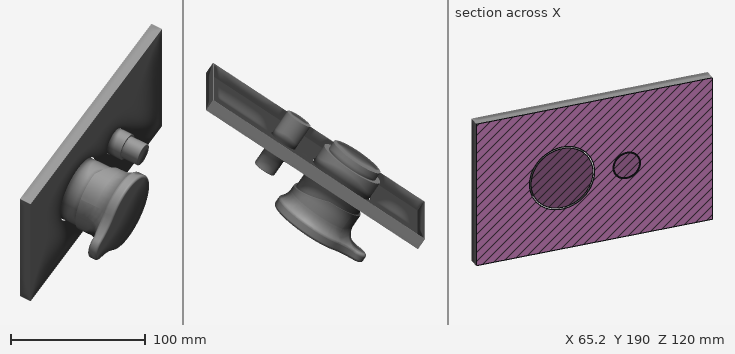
import cadquery as cq
import math

TOTAL_DEPTH = 65.2
PLATE_REAR_X = 12.2
SLEEVE_REAR_X = 6.5
SLEEVE_FRONT_X = 48.3
HANDLE_REAR_X = 35.0
GUIDE_FRONT_X = 32.5
BUTTON_FRONT_X = 46.4

PLATE_WIDTH = 190
PLATE_HEIGHT = 120.0
PLATE_DEPTH = 9.3
SHEET = 1.0

AXIS_OFFSET = 26.0
BUTTON_Y = AXIS_OFFSET
HANDLE_Y = -AXIS_OFFSET

CARTRIDGE_RADIUS = 20.9
SLEEVE_RADIUS = 25.0
SLEEVE_CLEARANCE = 1.0
GUIDE_RADIUS = 10.5
GUIDE_CLEARANCE = 0.4
BUTTON_RADIUS = 8.7
BUTTON_ROUND = 0.5

HUB_RADIUS = 26.8
FLANGE_RADIUS = 30.8
FLANGE_THICKNESS = 7.5
LOBE_RADIUS = 10.8
LOBE_REACH = 37.0
LOBE_BLEND_RADIUS = 41.8
FLARE_RADIUS = 13.7
REAR_ROUND = 2.3
FRONT_ROUND = 1.9
RELIEF_ANGLE = 20
RELIEF_START = 0.8

FLANGE_REAR_X = TOTAL_DEPTH - FLANGE_THICKNESS
FLARE_CENTRE_RADIUS = HUB_RADIUS + FLARE_RADIUS

CORE_RADIUS = 15.2
OVERSIZE_RADIUS = 57
TRANSITION_STEPS = 6


def cylinder(radius, x_start, x_end, y):
    """Solid cylinder along X."""
    return (
        cq.Workplane("YZ", origin=(x_start, y, 0))
        .circle(radius)
        .extrude(x_end - x_start)
    )


def make_plate():
    tray = (
        cq.Workplane("YZ", origin=(PLATE_REAR_X, 0, 0))
        .rect(PLATE_WIDTH, PLATE_HEIGHT)
        .extrude(PLATE_DEPTH)
        .faces("<X")
        .shell(-SHEET)
    )
    plate_front_x = PLATE_REAR_X + PLATE_DEPTH
    sleeve_hole = cylinder(SLEEVE_RADIUS + SLEEVE_CLEARANCE, PLATE_REAR_X, plate_front_x, HANDLE_Y)
    guide_hole = cylinder(GUIDE_RADIUS + GUIDE_CLEARANCE, PLATE_REAR_X, plate_front_x, BUTTON_Y)
    return tray.cut(sleeve_hole).cut(guide_hole)


def blend_centre():
    """Centre of the blend arc, where the two grown circles meet: (distance towards the lobe, height)."""
    to_flange = FLANGE_RADIUS + LOBE_BLEND_RADIUS
    to_lobe = LOBE_RADIUS + LOBE_BLEND_RADIUS
    along = (to_flange**2 - to_lobe**2 + LOBE_REACH**2) / (2 * LOBE_REACH)
    return along, math.sqrt(to_flange**2 - along**2)


def flange_outline(x):
    """Round flange and lobe tip, joined above and below by a concave tangent arc."""
    blend_along, blend_up = blend_centre()
    flange_share = FLANGE_RADIUS / (FLANGE_RADIUS + LOBE_BLEND_RADIUS)
    lobe_share = LOBE_RADIUS / (LOBE_RADIUS + LOBE_BLEND_RADIUS)
    flange_end = (blend_along * flange_share, blend_up * flange_share)
    lobe_end = (LOBE_REACH + (blend_along - LOBE_REACH) * lobe_share, blend_up * lobe_share)

    chord_along = (flange_end[0] + lobe_end[0]) / 2 - blend_along
    chord_up = (flange_end[1] + lobe_end[1]) / 2 - blend_up
    stretch = LOBE_BLEND_RADIUS / math.hypot(chord_along, chord_up)
    blend_mid = (blend_along + chord_along * stretch, blend_up + chord_up * stretch)

    return (
        cq.Workplane("YZ", origin=(x, HANDLE_Y, 0))
        .moveTo(-flange_end[0], flange_end[1])
        .threePointArc((FLANGE_RADIUS, 0), (-flange_end[0], -flange_end[1]))
        .threePointArc((-blend_mid[0], -blend_mid[1]), (-lobe_end[0], -lobe_end[1]))
        .threePointArc((-LOBE_REACH - LOBE_RADIUS, 0), (-lobe_end[0], lobe_end[1]))
        .threePointArc((-blend_mid[0], blend_mid[1]), (-flange_end[0], flange_end[1]))
        .close()
    )


def flare_start_x(edge_radius):
    """Where a flare that ends on the flange edge leaves the hub; beyond its full width it is tangent."""
    overhang = FLARE_CENTRE_RADIUS - edge_radius
    return FLANGE_REAR_X - math.sqrt(FLARE_RADIUS**2 - overhang**2)


def flare_section(start_x, angle):
    """Hub, flare and oversize flange in one half-plane, turned by an angle from the lobe direction."""
    plane = cq.Plane(
        origin=(start_x, HANDLE_Y, 0),
        xDir=(0, -math.cos(angle), math.sin(angle)),
        normal=(0, math.sin(angle), math.cos(angle)),
    )
    core = CORE_RADIUS / 2
    rear = HANDLE_REAR_X - start_x
    front = TOTAL_DEPTH - start_x
    diagonal = FLARE_RADIUS * math.sin(math.pi / 4)
    return (
        cq.Workplane(plane)
        .moveTo(core, rear)
        .lineTo(HUB_RADIUS, rear)
        .lineTo(HUB_RADIUS, 0)
        .threePointArc(
            (FLARE_CENTRE_RADIUS - diagonal, diagonal),
            (FLARE_CENTRE_RADIUS, FLARE_RADIUS),
        )
        .lineTo(OVERSIZE_RADIUS, FLARE_RADIUS)
        .lineTo(OVERSIZE_RADIUS, front)
        .lineTo(core, front)
        .close()
    )


def flare_sectors():
    """Four sectors around the hub: lobe, plain flange, and a transition on each side."""
    blend_along, blend_up = blend_centre()
    blend_distance = math.hypot(blend_along, blend_up)
    blend_angle = math.atan2(blend_up, blend_along)
    lobe_angle = blend_angle - math.acos(
        (blend_distance**2 + FLARE_CENTRE_RADIUS**2 - LOBE_BLEND_RADIUS**2)
        / (2 * blend_distance * FLARE_CENTRE_RADIUS)
    )

    def edge_radius(angle):
        across = blend_distance * math.sin(blend_angle - angle)
        along = blend_distance * math.cos(blend_angle - angle)
        return along - math.sqrt(LOBE_BLEND_RADIUS**2 - across**2)

    def sector(edge, start, sweep):
        section = flare_section(flare_start_x(edge), start)
        return section.revolve(math.degrees(sweep), (0, 0), (0, 1))

    def transition(side):
        step = (blend_angle - lobe_angle) / TRANSITION_STEPS
        angles = [lobe_angle + step * i for i in range(TRANSITION_STEPS + 1)]
        wires = [
            flare_section(flare_start_x(edge_radius(angle)), side * angle).wire().val()
            for angle in angles
        ]
        return cq.Workplane(cq.Solid.makeLoft(wires))

    return [
        sector(FLARE_CENTRE_RADIUS, lobe_angle, 2 * lobe_angle),
        sector(FLANGE_RADIUS, -blend_angle, 2 * (math.pi - blend_angle)),
        transition(1),
        transition(-1),
    ]


def relief_cutter():
    """Wedge that slants the rear rim of the hub forwards, from the middle to the side away from the lobe."""
    width = 2 * HUB_RADIUS
    start_y = HANDLE_Y + RELIEF_START
    return (
        cq.Workplane("XY", origin=(0, 0, -HUB_RADIUS))
        .moveTo(HANDLE_REAR_X, start_y)
        .lineTo(HANDLE_REAR_X, start_y + width)
        .lineTo(HANDLE_REAR_X + width * math.tan(math.radians(RELIEF_ANGLE)), start_y + width)
        .close()
        .extrude(width)
    )


def make_handle():
    handle = cylinder(CORE_RADIUS, HANDLE_REAR_X, TOTAL_DEPTH, HANDLE_Y)
    for sector in flare_sectors():
        handle = handle.union(sector)
    handle = handle.intersect(flange_outline(HANDLE_REAR_X).extrude(TOTAL_DEPTH - HANDLE_REAR_X))

    lobe_tip = (FLANGE_REAR_X, HANDLE_Y - LOBE_REACH - LOBE_RADIUS, 0)
    handle = handle.faces(">X").edges().fillet(FRONT_ROUND)
    handle = handle.edges(cq.selectors.NearestToPointSelector(lobe_tip)).fillet(REAR_ROUND)

    sleeve_socket = cylinder(SLEEVE_RADIUS, HANDLE_REAR_X, SLEEVE_FRONT_X, HANDLE_Y)
    return handle.cut(sleeve_socket).cut(relief_cutter())


def make_button():
    button = cylinder(BUTTON_RADIUS, GUIDE_FRONT_X, BUTTON_FRONT_X, BUTTON_Y)
    return button.faces(">X").edges().fillet(BUTTON_ROUND)


plate = make_plate()
cartridge = cylinder(CARTRIDGE_RADIUS, 0, SLEEVE_REAR_X, HANDLE_Y)
sleeve = cylinder(SLEEVE_RADIUS, SLEEVE_REAR_X, SLEEVE_FRONT_X, HANDLE_Y)
handle = make_handle()
guide = cylinder(GUIDE_RADIUS, 0, GUIDE_FRONT_X, BUTTON_Y)
button = make_button()

result = cq.Compound.makeCompound(
    [plate.val(), cartridge.val(), sleeve.val(), handle.val(), guide.val(), button.val()]
)